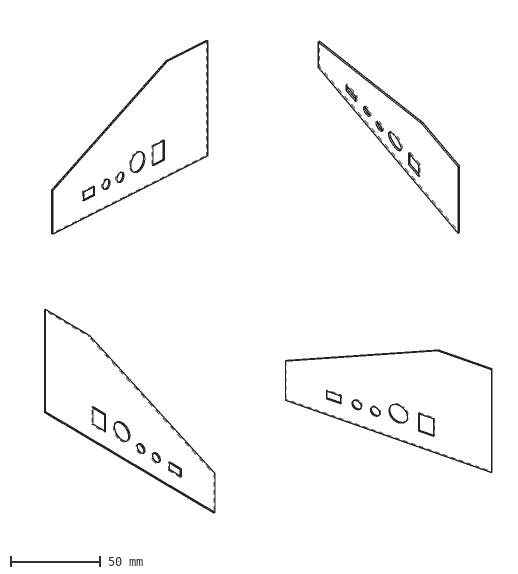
import cadquery as cq

length = 134.0
height = 71.0
thickness = 1.0
top_edge_length = 35.0
low_end_height = 27.0

sill_height = 11.0
tall_window_y = 91.5
tall_window_width = 9.8
tall_window_height = 12.0
low_window_y = 31.4
low_window_width = 9.4
low_window_height = 5.4

large_hole_diameter = 12.0
large_hole_y = 73.4
large_hole_z = 18.0
small_hole_diameter = 6.0
small_hole_z = 14.0
small_hole_y_places = (46.4, 58.4)


def plate():
    """Flat side panel whose top edge slopes down toward the low end."""
    outline = [
        (0, 0),
        (length, 0),
        (length, height),
        (length - top_edge_length, height),
        (0, low_end_height),
    ]
    return cq.Workplane("YZ").polyline(outline).close().extrude(thickness)


def window(center_y, width, window_height):
    """Cutter for a rectangular window standing on the common sill."""
    center_z = sill_height + window_height / 2
    return cq.Workplane("YZ").center(center_y, center_z).rect(width, window_height).extrude(thickness)


def round_hole(center_y, center_z, diameter):
    """Cutter for a round through hole."""
    return cq.Workplane("YZ").center(center_y, center_z).circle(diameter / 2).extrude(thickness)


result = plate()
result = result.cut(window(tall_window_y, tall_window_width, tall_window_height))
result = result.cut(window(low_window_y, low_window_width, low_window_height))
result = result.cut(round_hole(large_hole_y, large_hole_z, large_hole_diameter))
for small_hole_y in small_hole_y_places:
    result = result.cut(round_hole(small_hole_y, small_hole_z, small_hole_diameter))